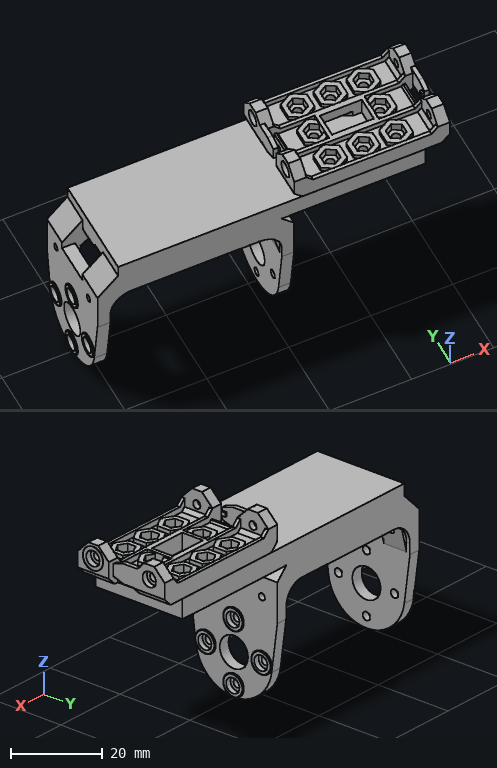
import cadquery as cq
import math


width = 25.0
half_width = width / 2
screw_pitch = 8.0
screw_hole = 2.1
screw_head = 3.8

leg_span = 47.95
left_leg = 3.2
right_leg = 3.0
leg_radius = 11.0
taper_top = 11.0
bracket_top = 28.95
plate_end = 80.0
plate_thickness = 5.0
arch_height = 19.0
arch_fillet = 5.4
left_chamfer = 5.0
left_lip = 3.0
right_chamfer = 3.0
ramp_bottom = 11.3
ramp_top = 17.3
ramp_rise = 1.55
ramp_half_width = 11.5
pivot_hole = 8.0
guide_hole = 1.7
guide_hole_height = 16.0
boss_diameter = 5.8
boss_chamfer = 0.2
boss_height = 0.35
head_depth = 1.5
cable_half_width = 5.0
cable_ceiling = 23.0
cable_exit_top = 21.4
relief_diameter = 3.6
relief_depth = 1.0
relief_offset = 2.85

pad_length = 38.0
pad_height = 9.1
pad_start = leg_span
ear_thickness = 3.0
ear_inner = 3.5
ear_corner = 3.0
ear_hole_height = 5.5
foot_chamfer = 2.0
floor_height = 2.9
rib_height = 4.4
rib_width = 0.95
rib_end_height = 6.0
lip_width = 0.5
lip_height = 3.45
ear_slope = 0.95
socket_height = 4.0
socket_outer = 6.5
nut_width = 4.0
nut_depth = 2.0
box_length = 12.2
pocket_length = 10.2
pocket_width = 6.0
notch_length = 7.95
notch_reach = 4.2
notch_height = 1.5
tab_thickness = 1.2
tab_top = 7.0
tab_bottom = 2.1
tab_end = 2.25
tab_slope_start = 0.7
tab_tip_drop = 0.95
nub_size = 0.5
nub_length = 1.0
nub_inset = 0.2
nub_height = 4.75
ear_boss_height = 0.1


def box(x0, x1, y0, y1, z0, z1):
    """Box between two corners."""
    return cq.Workplane("XY").box(x1 - x0, y1 - y0, z1 - z0, centered=False).translate((x0, y0, z0))


def x_cylinder(x0, x1, y, z, diameter):
    """Cylinder along X between x0 and x1."""
    return cq.Workplane("YZ", origin=(x0, 0, 0)).center(y, z).circle(diameter / 2).extrude(x1 - x0)


def side_profile(points, y0, y1):
    """Straight-sided XZ outline extruded from y0 to y1."""
    return cq.Workplane("XZ", origin=(0, y1, 0)).polyline(points).close().extrude(y1 - y0)


def bracket_side():
    """Side shape of the plate, the block and both legs, over the full width."""
    plate_bottom = bracket_top - plate_thickness
    chamfer_top = bracket_top - left_lip
    inner_right = leg_span - right_leg
    outline = [
        (0, -leg_radius),
        (0, chamfer_top - left_chamfer),
        (left_chamfer, chamfer_top),
        (left_chamfer, bracket_top),
        (plate_end, bracket_top),
        (plate_end, plate_bottom),
        (leg_span - right_chamfer, plate_bottom),
        (leg_span, plate_bottom - right_chamfer),
        (leg_span, -leg_radius),
        (inner_right, -leg_radius),
        (inner_right, arch_height),
        (left_leg, arch_height),
        (left_leg, -leg_radius),
    ]
    body = side_profile(outline, -half_width, half_width)
    margin = 0.9
    arch_corners = cq.selectors.BoxSelector(
        (left_leg - margin, -width, arch_height - margin),
        (inner_right + margin, width, arch_height + margin),
    )
    return body.edges("|Y").edges(arch_corners).fillet(arch_fillet)


def corner_ramps():
    """Ramps that stiffen the corners between the legs and the block."""
    left = left_leg
    right = leg_span - right_leg
    ramps = []
    for face, inward in ((left, 1), (right, -1)):
        outline = [
            (face, ramp_bottom),
            (face + inward * ramp_rise, ramp_top),
            (face, ramp_top),
        ]
        ramps.append(side_profile(outline, -ramp_half_width, ramp_half_width))
    return ramps


def leg_envelope():
    """End shape of the bracket: straight sides tapering tangentially into a round end."""
    reach = math.hypot(half_width, taper_top)
    tangent_angle = math.atan2(taper_top, half_width) - math.acos(leg_radius / reach)
    tangent_y = leg_radius * math.cos(tangent_angle)
    tangent_z = leg_radius * math.sin(tangent_angle)
    return (
        cq.Workplane("YZ")
        .moveTo(-half_width, bracket_top)
        .lineTo(-half_width, taper_top)
        .lineTo(-tangent_y, tangent_z)
        .threePointArc((0, -leg_radius), (tangent_y, tangent_z))
        .lineTo(half_width, taper_top)
        .lineTo(half_width, bracket_top)
        .close()
        .extrude(plate_end)
    )


def cable_channel():
    """Window in the left leg, channel through the corners and the block, exit through the right leg."""
    y0, y1 = -cable_half_width, cable_half_width
    window = box(0, left_chamfer, y0, y1, arch_height, bracket_top - left_lip)
    channel = box(left_leg, leg_span - right_leg, y0, y1, ramp_bottom, arch_height)
    upper_channel = box(left_chamfer, leg_span - right_leg, y0, y1, arch_height, cable_ceiling)
    leg_exit = box(leg_span - right_leg, leg_span, y0, y1, arch_height, cable_exit_top)
    relief = (
        cq.Workplane("XY", origin=(left_chamfer, -relief_offset, cable_ceiling))
        .circle(relief_diameter / 2)
        .extrude(relief_depth)
    )
    return window.union(channel).union(upper_channel).union(leg_exit).union(relief)


def make_bracket():
    body = bracket_side()
    for ramp in corner_ramps():
        body = body.union(ramp)
    body = body.intersect(leg_envelope())
    body = body.cut(cable_channel())
    body = body.cut(x_cylinder(0, leg_span, 0, 0, pivot_hole))
    for side in (-1, 1):
        body = body.cut(x_cylinder(0, leg_span, side * screw_pitch, guide_hole_height, guide_hole))

    screw_places = [(screw_pitch, 0), (-screw_pitch, 0), (0, screw_pitch), (0, -screw_pitch)]
    left_end = -boss_height
    right_end = leg_span + boss_height
    for y, z in screw_places:
        left_boss = x_cylinder(left_end, 0, y, z, boss_diameter).faces("<X").chamfer(boss_chamfer)
        right_boss = x_cylinder(leg_span, right_end, y, z, boss_diameter).faces(">X").chamfer(boss_chamfer)
        body = body.union(left_boss).union(right_boss)
    for y, z in screw_places:
        body = body.cut(x_cylinder(left_end, right_end, y, z, screw_hole))
        body = body.cut(x_cylinder(left_end, left_end + head_depth, y, z, screw_head))
        body = body.cut(x_cylinder(right_end - head_depth, right_end, y, z, screw_head))
    return body


def mirror_ends(shape):
    """Copy of a pad feature at the other end of the pad."""
    return shape.mirror("YZ", (pad_length / 2, 0, 0))


def pad_ear(side):
    """Left ear on one side of the centre gap, with a corner cut at each side of its top."""
    outline = [
        (side * ear_inner, 0),
        (side * half_width, 0),
        (side * half_width, pad_height - ear_corner),
        (side * (half_width - ear_corner), pad_height),
        (side * (ear_inner + ear_corner), pad_height),
        (side * ear_inner, pad_height - ear_corner),
    ]
    return cq.Workplane("YZ").polyline(outline).close().extrude(ear_thickness)


def ear_ramp(side):
    """Slope between the floor of an outer channel and the left ear."""
    outline = [
        (ear_thickness, floor_height),
        (ear_thickness + ear_slope, floor_height),
        (ear_thickness, floor_height + ear_slope),
    ]
    y0, y1 = sorted((side * ear_inner, side * half_width))
    return side_profile(outline, y0, y1)


def centre_lip():
    """Flat-topped lip that ends the centre channel."""
    outline = [
        (ear_thickness, floor_height),
        (ear_thickness + ear_slope, floor_height),
        (ear_thickness + lip_width, lip_height),
        (ear_thickness, lip_height),
    ]
    return side_profile(outline, -ear_inner, ear_inner)


def pad_rib(y0):
    """Lengthwise rib whose ends slope up to the ears."""
    rise = rib_end_height - rib_height
    start, end = ear_thickness, pad_length - ear_thickness
    outline = [
        (start, 0),
        (end, 0),
        (end, rib_end_height),
        (end - rise, rib_height),
        (start + rise, rib_height),
        (start, rib_end_height),
    ]
    return side_profile(outline, y0, y0 + rib_width)


def hexagon(x, y, z0, z1, across_flats):
    """Hexagonal prism with its points along Y."""
    corner_diameter = across_flats / math.cos(math.pi / 6)
    prism = cq.Workplane("XY", origin=(0, 0, z0)).polygon(6, corner_diameter).extrude(z1 - z0)
    return prism.rotate((0, 0, 0), (0, 0, 1), 90).translate((x, y, 0))


def pad_tab():
    """Thin tab reaching from the left ear across the centre gap, with a nub on its tip."""
    outline = [
        (ear_inner + ear_corner, tab_bottom),
        (ear_inner + ear_corner, tab_top),
        (tab_slope_start, tab_top),
        (-tab_end, tab_top - tab_tip_drop),
        (-tab_end, tab_bottom + tab_tip_drop),
        (tab_slope_start, tab_bottom),
    ]
    tab = cq.Workplane("YZ").polyline(outline).close().extrude(tab_thickness)
    nub = box(
        tab_thickness, tab_thickness + nub_size,
        -tab_end + nub_inset, -tab_end + nub_inset + nub_length,
        nub_height - nub_size, nub_height + nub_size,
    )
    return tab.union(nub)


def make_pad():
    body = box(ear_thickness, pad_length - ear_thickness, -half_width, half_width, 0, floor_height)
    left_end = pad_ear(1).union(pad_ear(-1)).union(ear_ramp(1)).union(ear_ramp(-1))
    left_end = left_end.union(centre_lip())
    foot = side_profile([(0, 0), (foot_chamfer, 0), (0, foot_chamfer)], -half_width, half_width)
    left_end = left_end.cut(foot).union(pad_tab())
    body = body.union(left_end).union(mirror_ends(left_end))

    for y0 in (-half_width, -ear_inner - rib_width, ear_inner, half_width - rib_width):
        body = body.union(pad_rib(y0))

    centre = pad_length / 2
    sockets = []
    for row in (-1, 0, 1):
        for column in (-1, 0, 1):
            if (column, row) != (0, 0):
                sockets.append((centre + column * screw_pitch, row * screw_pitch))
    for x, y in sockets:
        body = body.union(hexagon(x, y, 0, socket_height, socket_outer))
    for x, y in sockets:
        nut_seat = socket_height - nut_depth
        body = body.cut(hexagon(x, y, nut_seat, socket_height, nut_width))
        body = body.cut(cq.Workplane("XY").center(x, y).circle(screw_hole / 2).extrude(socket_height))

    half_box = box_length / 2
    half_pocket = pocket_length / 2
    half_opening = pocket_width / 2
    body = body.union(box(centre - half_box, centre + half_box, -ear_inner, ear_inner, 0, rib_height))
    pocket = box(centre - half_pocket, centre + half_pocket, -half_opening, half_opening, 0, rib_height)
    body = body.cut(pocket)

    notch_start = centre - half_pocket
    notch = [
        (notch_start, half_opening),
        (notch_start + notch_length, half_opening),
        (notch_start, half_opening + notch_reach),
    ]
    body = body.cut(cq.Workplane("XY").polyline(notch).close().extrude(notch_height))

    boss_end = pad_length + ear_boss_height
    body = body.union(x_cylinder(pad_length, boss_end, -screw_pitch, ear_hole_height, boss_diameter))
    for side in (-1, 1):
        y = side * screw_pitch
        body = body.cut(x_cylinder(0, boss_end, y, ear_hole_height, screw_hole))
        head = x_cylinder(-ear_boss_height, head_depth, y, ear_hole_height, screw_head)
        body = body.cut(head).cut(mirror_ends(head))

    return body.translate((pad_start, 0, bracket_top))


bracket = make_bracket()
pad = make_pad()
result = cq.Compound.makeCompound([bracket.solids().val(), pad.solids().val()])